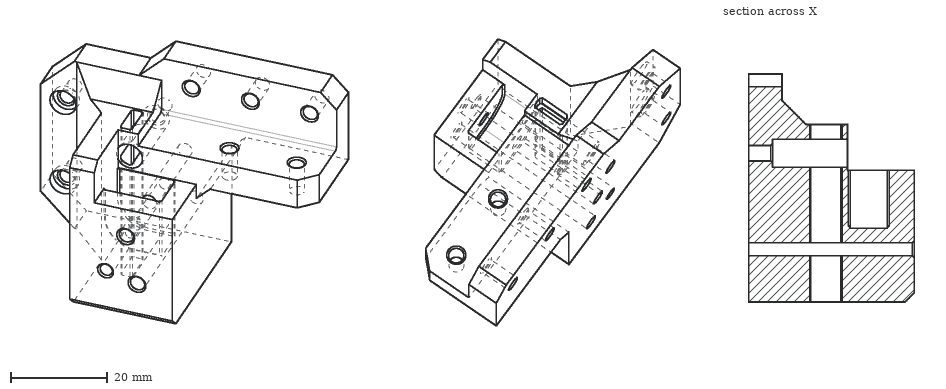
import cadquery as cq

LENGTH = 66.0
DEPTH = 34.5
HEIGHT = 47.5

PLATE_THICKNESS = 7.0
SHOULDER_HEIGHT = 42.0
LEFT_CHAMFER = 7.5
RAMP_START_X = 22.0
RIGHT_CHAMFER = 3.55

BODY_LEFT = 17.0
BODY_RIGHT = 39.9
SIDE_RAMP = 9.0
WALL_TOP = 37.0
WALL_RIGHT = 22.5
BLOCK_TOP = 27.5
FRONT_CHAMFER = 2.0
UPPER_BODY_RIGHT = 27.0

FLANGE_FRONT = 20.6
FLANGE_TOP = 34.05
FLANGE_THICKNESS = 7.0
FLANGE_BOTTOM = FLANGE_TOP - FLANGE_THICKNESS
ROOT_RADIUS = 0.65
GUSSET = 3.05

PULLEY_X = 29.5
PULLEY_Z = 20.7
PULLEY_RADIUS = PULLEY_X - WALL_RIGHT
POCKET_RIGHT = 35.4
POCKET_CENTER_DEPTH = 25.0
POCKET_WIDTH = 8.45
POCKET_TAPER = 0.4

SLOT_WIDTH = 2.6
SLOT_LENGTH = 7.05
SLOT_BACK = 12.55
SLOT_CORNER = 0.4

SCREW_DIAMETER = 3.2
SMALL_DIAMETER = 2.7
HOLE_CHAMFER = 0.4
COUNTERBORE_DIAMETER = 5.8
COUNTERBORE_SEAT = 5.0
BOLT_X = 5.0
BOLT_Z = 11.0
BOLT_SPACING = 20.0
PLATE_HOLE_X = 60.0
PLATE_HOLE_Z = 41.5
PLATE_HOLE_SPACING = 13.2
PLATE_HOLE_COUNT = 3
FLANGE_HOLES_X = (45.0, 60.0)
FLANGE_HOLE_DEPTH = 14.5
IDLER_X = 32.0
IDLER_Z = 9.3


def box(x0, x1, depth0, depth1, z0, z1):
    """Box between two x, two depths in front of the back face, and two z values."""
    block = cq.Workplane("XY").box(x1 - x0, depth1 - depth0, z1 - z0, centered=False)
    return block.translate((x0, -depth1, z0))


def front_prism(points, depth0, depth1):
    """Outline in x and z, filled between two depths."""
    return cq.Workplane("XZ", origin=(0, -depth0, 0)).polyline(points).close().extrude(depth1 - depth0)


def side_prism(points, x0, x1):
    """Outline in y and z, filled between two x values."""
    return cq.Workplane("YZ", origin=(x0, 0, 0)).polyline(points).close().extrude(x1 - x0)


def make_plate():
    ramp_top_x = RAMP_START_X + HEIGHT - SHOULDER_HEIGHT
    outline = [
        (LEFT_CHAMFER, 0),
        (BODY_RIGHT, 0),
        (BODY_RIGHT, FLANGE_BOTTOM),
        (LENGTH, FLANGE_BOTTOM),
        (LENGTH, HEIGHT - RIGHT_CHAMFER),
        (LENGTH - RIGHT_CHAMFER, HEIGHT),
        (ramp_top_x, HEIGHT),
        (RAMP_START_X, SHOULDER_HEIGHT),
        (LEFT_CHAMFER, SHOULDER_HEIGHT),
        (0, SHOULDER_HEIGHT - LEFT_CHAMFER),
        (0, LEFT_CHAMFER),
    ]
    return front_prism(outline, 0, PLATE_THICKNESS)


def make_body():
    """Web, left wall and pulley block, with sloped shoulder and chamfered front."""
    footprint = [
        (BODY_LEFT - SIDE_RAMP, -PLATE_THICKNESS),
        (BODY_LEFT, -PLATE_THICKNESS - SIDE_RAMP),
        (BODY_LEFT, -DEPTH),
        (BODY_RIGHT, -DEPTH),
        (BODY_RIGHT, -PLATE_THICKNESS),
    ]
    body = cq.Workplane("XY").polyline(footprint).close().extrude(SHOULDER_HEIGHT)
    shoulder_depth = PLATE_THICKNESS + SHOULDER_HEIGHT - WALL_TOP
    side_profile = [
        (-PLATE_THICKNESS, 0),
        (FRONT_CHAMFER - DEPTH, 0),
        (-DEPTH, FRONT_CHAMFER),
        (-DEPTH, WALL_TOP - FRONT_CHAMFER),
        (FRONT_CHAMFER - DEPTH, WALL_TOP),
        (-shoulder_depth, WALL_TOP),
        (-PLATE_THICKNESS, SHOULDER_HEIGHT),
    ]
    body = body.intersect(side_prism(side_profile, 0, LENGTH))
    above_flange = box(UPPER_BODY_RIGHT, LENGTH, PLATE_THICKNESS, DEPTH, FLANGE_TOP, HEIGHT)
    above_block = box(WALL_RIGHT, LENGTH, FLANGE_FRONT, DEPTH, BLOCK_TOP, HEIGHT)
    return body.cut(above_flange).cut(above_block)


def make_flange():
    footprint = [
        (UPPER_BODY_RIGHT, 0),
        (LENGTH, 0),
        (LENGTH, RIGHT_CHAMFER - FLANGE_FRONT),
        (LENGTH - RIGHT_CHAMFER, -FLANGE_FRONT),
        (UPPER_BODY_RIGHT, -FLANGE_FRONT),
    ]
    flange_plane = cq.Workplane("XY", origin=(0, 0, FLANGE_BOTTOM))
    flange = flange_plane.polyline(footprint).close().extrude(FLANGE_THICKNESS)
    root = (
        cq.Workplane("YZ", origin=(UPPER_BODY_RIGHT, 0, 0))
        .moveTo(-PLATE_THICKNESS, FLANGE_TOP)
        .lineTo(-PLATE_THICKNESS - ROOT_RADIUS, FLANGE_TOP)
        .radiusArc((-PLATE_THICKNESS, FLANGE_TOP + ROOT_RADIUS), -ROOT_RADIUS)
        .close()
        .extrude(LENGTH - UPPER_BODY_RIGHT)
    )
    gusset = front_prism(
        [
            (BODY_RIGHT, FLANGE_BOTTOM),
            (BODY_RIGHT + GUSSET, FLANGE_BOTTOM),
            (BODY_RIGHT, FLANGE_BOTTOM - GUSSET),
        ],
        0,
        FLANGE_FRONT,
    )
    return flange.union(root).union(gusset)


def make_pocket():
    """Pulley pocket, open at the top, whose rim narrows toward both end walls."""
    depth0 = POCKET_CENTER_DEPTH - POCKET_WIDTH / 2
    pocket = (
        cq.Workplane("XZ", origin=(0, -depth0, 0))
        .moveTo(WALL_RIGHT, HEIGHT)
        .lineTo(WALL_RIGHT, PULLEY_Z)
        .radiusArc((PULLEY_X, PULLEY_Z - PULLEY_RADIUS), -PULLEY_RADIUS)
        .lineTo(POCKET_RIGHT, PULLEY_Z - PULLEY_RADIUS)
        .lineTo(POCKET_RIGHT, HEIGHT)
        .close()
        .extrude(POCKET_WIDTH)
        .faces("<Y or >Y")
        .chamfer(POCKET_TAPER)
    )
    return pocket.intersect(box(0, LENGTH, 0, DEPTH, 0, BLOCK_TOP))


def make_slot():
    slot = box(WALL_RIGHT, WALL_RIGHT + SLOT_WIDTH, SLOT_BACK, SLOT_BACK + SLOT_LENGTH, 0, HEIGHT)
    return slot.edges("|Z").chamfer(SLOT_CORNER)


def hole_tool(diameter, length):
    """Hole along +z from the origin with a countersunk mouth at the origin."""
    radius = diameter / 2
    profile = [
        (0, 0),
        (radius + HOLE_CHAMFER, 0),
        (radius, HOLE_CHAMFER),
        (radius, length),
        (0, length),
    ]
    return cq.Workplane("XZ").polyline(profile).close().revolve(360, (0, 0), (0, 1))


def front_hole(x, z, diameter, depth):
    """Hole through to the back face, entered at the given depth."""
    return hole_tool(diameter, depth).rotate((0, 0, 0), (1, 0, 0), -90).translate((x, -depth, z))


def flange_hole(x):
    tool = hole_tool(SCREW_DIAMETER, FLANGE_THICKNESS).rotate((0, 0, 0), (1, 0, 0), 180)
    return tool.translate((x, -FLANGE_HOLE_DEPTH, FLANGE_TOP))


def counterbored_hole(x, z, entry_depth):
    bore = (
        cq.Workplane("XZ", origin=(0, -COUNTERBORE_SEAT, 0))
        .center(x, z)
        .circle(COUNTERBORE_DIAMETER / 2)
        .extrude(entry_depth - COUNTERBORE_SEAT)
    )
    return bore.union(front_hole(x, z, SCREW_DIAMETER, COUNTERBORE_SEAT))


result = make_plate().union(make_body()).union(make_flange())
result = result.cut(make_pocket()).cut(make_slot())

bolt_right_x = BOLT_X + BOLT_SPACING
bolt_upper_z = BOLT_Z + BOLT_SPACING
result = result.cut(counterbored_hole(BOLT_X, BOLT_Z, PLATE_THICKNESS))
result = result.cut(counterbored_hole(BOLT_X, bolt_upper_z, PLATE_THICKNESS))
result = result.cut(counterbored_hole(bolt_right_x, bolt_upper_z, FLANGE_FRONT))
result = result.cut(front_hole(bolt_right_x, BOLT_Z, SMALL_DIAMETER, DEPTH))

for axle_x, axle_z in ((PULLEY_X, PULLEY_Z), (IDLER_X, IDLER_Z)):
    result = result.cut(front_hole(axle_x, axle_z, SCREW_DIAMETER, DEPTH))

for i in range(PLATE_HOLE_COUNT):
    hole_x = PLATE_HOLE_X - i * PLATE_HOLE_SPACING
    result = result.cut(front_hole(hole_x, PLATE_HOLE_Z, SCREW_DIAMETER, PLATE_THICKNESS))
for hole_x in FLANGE_HOLES_X:
    result = result.cut(flange_hole(hole_x))